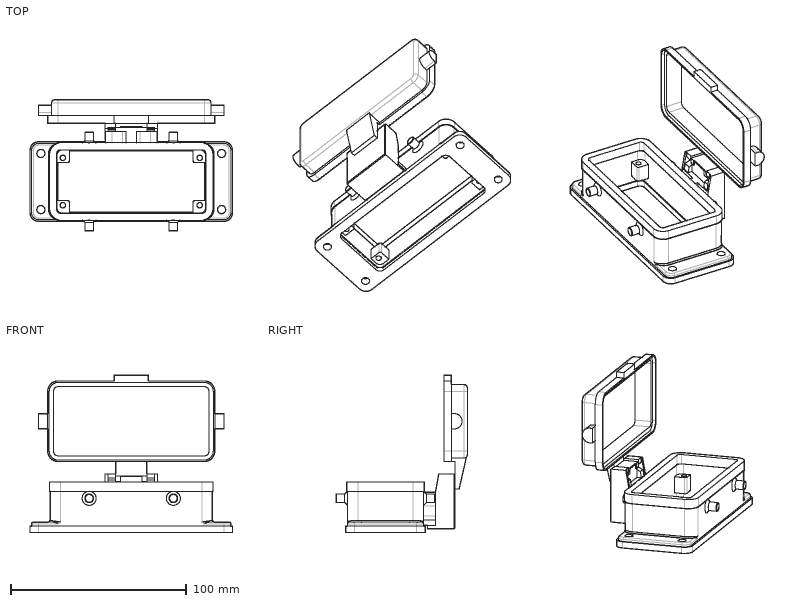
import cadquery as cq

flange_length = 115.5
flange_width = 45.5
flange_height = 3.7
flange_radius = 5.0
pad_inset = 0.9
pad_top = 5.9
pad_edge_radius = 1.0
mount_hole_diameter = 4.5
mount_hole_x = 51.5
mount_hole_y = 16.0

body_length = 92.6
body_width = 43.5
body_radius = 6.0
foot_spread = 0.9
foot_rise = 0.9
foot_chamfer = 0.7
rim_overhang = 0.4
rim_bottom = 23.4
body_top = 28.9
cavity_length = 85.0
cavity_width = 36.2
cavity_radius = 2.0
lower_cavity_radius = 3.0
lower_cavity_step = 0.15
floor_lip = 0.7

boss_size = 7.3
boss_radius = 1.0
boss_bottom = 8.0
boss_top = 17.5
boss_hole_diameter = 3.0
boss_hole_x = 39.0
boss_hole_y = 13.5

pin_diameter = 5.0
pin_collar_diameter = 8.0
pin_collar_length = 1.5
pin_reach = 28.25
pin_x = 24.0
pin_z = 19.5
pin_edge_chamfer = 0.3

housing_width = 30.0
housing_back = 39.55
housing_front = 28.4
housing_top_front = 30.3
housing_bottom = 2.1
housing_top = 33.5
housing_edge_chamfer = 0.5
ledge_front = 23.8
ledge_top = 4.1
cheek_thickness = 1.7
recess_floor = 23.0
recess_back = 31.5
saddle_front = 30.8
saddle_top = 32.3
saddle_skin = 0.3
tab_height = 3.0
tab_width = 2.9
cell_inset = 0.5
spring_pocket_back = 36.5
spring_pocket_top = 31.0
spring_ramp_top = 30.0
spring_ramp_bottom = 26.0

bracket_top = 23.0
bracket_side_inset = 0.2
bracket_top_width = 5.9
bracket_flank_x = 4.9
bracket_flank_z = 15.2
bracket_arc_x = 10.9
bracket_arc_z = 9.5
bracket_shoulder_z = 7.1

cover_length = 95.3
cover_height = 46.1
cover_top = 86.5
cover_radius = 6.0
cover_front = 33.2
cover_rim_back = 37.6
cover_back = 46.75
shell_inset = 2.1
shell_edge_radius = 2.0
seal_inset = 0.9
seal_depth = 1.9
pocket_inset = 3.35
pocket_floor_thickness = 2.0
pocket_radius = 2.5
cover_tab_width = 19.4
cover_tab_top = 89.75
lug_span = 105.8
lug_width = 8.7
lug_reach = 43.6

arm_width = 17.8
arm_tip_back = 42.0
arm_tip_z = 24.7
arm_root_back = 46.3
arm_root_z = 43.5

cover_mid_z = cover_top - cover_height / 2
cover_bottom = cover_top - cover_height


def four_corners(x, y):
    """The four points (+-x, +-y)."""
    return [(sx * x, sy * y) for sx in (-1, 1) for sy in (-1, 1)]


def upright_block(length, width, radius, bottom, top):
    """Block centred on Z with rounded vertical corners."""
    block = cq.Workplane("XY").workplane(offset=bottom).rect(length, width).extrude(top - bottom)
    return block.edges("|Z").fillet(radius)


def box(x_range, y_range, z_range):
    """Box between two limits along each axis."""
    (x0, x1), (y0, y1), (z0, z1) = x_range, y_range, z_range
    return cq.Workplane("XY").box(x1 - x0, y1 - y0, z1 - z0, centered=False).translate((x0, y0, z0))


def cover_block(inset, radius, front, back):
    """Rounded slab following the cover outline, moved inwards by inset."""
    length = cover_length - 2 * inset
    height = cover_height - 2 * inset
    slab = cq.Workplane("XZ").rect(length, height).extrude(front - back).edges("|Y").fillet(radius)
    return slab.translate((0, front, cover_mid_z))


def make_base():
    """Flange, end pads and body with its overhanging rim."""
    flange = upright_block(flange_length, flange_width, flange_radius, 0, flange_height)
    pad = upright_block(
        flange_length - 2 * pad_inset,
        body_width,
        flange_radius - pad_inset,
        flange_height,
        pad_top,
    )
    pad = pad.faces(">Z").edges().fillet(pad_edge_radius)
    body = upright_block(body_length, body_width, body_radius, 0, rim_bottom)
    rim = upright_block(
        body_length + 2 * rim_overhang,
        body_width + 2 * rim_overhang,
        body_radius + rim_overhang,
        rim_bottom,
        body_top,
    )
    foot = upright_block(
        body_length + 2 * foot_spread,
        body_width,
        body_radius,
        flange_height,
        pad_top + foot_rise,
    )
    foot = foot.faces(">Z").edges("|Y").chamfer(foot_chamfer)
    return flange.union(pad).union(body).union(foot).union(rim)


def cut_base(base):
    """Stepped through cavity with a small lip at the flange, plus the mounting holes."""
    upper_cavity = upright_block(cavity_length, cavity_width, cavity_radius, rim_bottom, body_top)
    lower_cavity = upright_block(
        cavity_length - 2 * lower_cavity_step,
        cavity_width - 2 * lower_cavity_step,
        lower_cavity_radius,
        flange_height,
        rim_bottom,
    )
    opening = upright_block(
        cavity_length - 2 * floor_lip,
        cavity_width - 2 * floor_lip,
        lower_cavity_radius,
        0,
        flange_height,
    )
    holes = (
        cq.Workplane("XY")
        .pushPoints(four_corners(mount_hole_x, mount_hole_y))
        .circle(mount_hole_diameter / 2)
        .extrude(body_top)
    )
    return base.cut(upper_cavity).cut(lower_cavity).cut(opening).cut(holes)


def make_bosses():
    """Four drilled blocks in the cavity corners."""
    wall_overlap = (body_length - cavity_length) / 4
    reach = boss_size + wall_overlap
    centre_x = cavity_length / 2 - boss_size + reach / 2
    centre_y = cavity_width / 2 - boss_size + reach / 2
    blocks = (
        cq.Workplane("XY")
        .workplane(offset=boss_bottom)
        .pushPoints(four_corners(centre_x, centre_y))
        .rect(reach, reach)
        .extrude(boss_top - boss_bottom)
        .edges("|Z")
        .fillet(boss_radius)
    )
    holes = (
        cq.Workplane("XY")
        .pushPoints(four_corners(boss_hole_x, boss_hole_y))
        .circle(boss_hole_diameter / 2)
        .extrude(body_top)
    )
    return blocks.cut(holes)


def make_pin(x, side):
    """Locking pin with a conical collar; side is -1 for -Y and +1 for +Y."""
    wall = body_width / 2
    inner = (cavity_width / 2 + wall) / 2
    collar_end = wall + pin_collar_length
    pin = (
        cq.Workplane("XY")
        .moveTo(0, inner)
        .lineTo(pin_collar_diameter / 2, inner)
        .lineTo(pin_collar_diameter / 2, wall)
        .lineTo(pin_diameter / 2, collar_end)
        .lineTo(pin_diameter / 2, pin_reach - pin_edge_chamfer)
        .lineTo(pin_diameter / 2 - pin_edge_chamfer, pin_reach)
        .lineTo(0, pin_reach)
        .close()
        .revolve(360, (0, 0, 0), (0, 1, 0))
    )
    if side < 0:
        pin = pin.mirror("XZ")
    return pin.translate((x, 0, pin_z))


def make_housing():
    """Hinge housing with a lowered saddle and a recess open to the front."""
    half = housing_width / 2
    arm_half = arm_width / 2
    profile = [
        (housing_back, housing_bottom),
        (ledge_front, housing_bottom),
        (ledge_front, ledge_top),
        (housing_front, ledge_top),
        (housing_front, recess_floor),
        (housing_top_front, housing_top),
        (housing_back, housing_top),
    ]
    housing = cq.Workplane("YZ").polyline(profile).close().extrude(half, both=True)
    housing = housing.faces(">Y").edges().chamfer(housing_edge_chamfer)

    saddle = box((-arm_half, arm_half), (ledge_front, housing_back), (saddle_top, housing_top))
    saddle_face = box((-arm_half, arm_half), (ledge_front, saddle_front), (recess_floor, housing_top))
    tab_x = arm_half - tab_width
    recess_y = (ledge_front, recess_back)
    recess_top = saddle_top - saddle_skin
    recess = box((-arm_half, arm_half), recess_y, (recess_floor, recess_top - tab_height))
    recess_middle = box((-tab_x, tab_x), recess_y, (recess_floor, recess_top))
    cell = make_spring_cell(arm_half, half - cheek_thickness)
    for cutter in (saddle, saddle_face, recess, recess_middle, cell, cell.mirror("YZ")):
        housing = housing.cut(cutter)
    return housing


def make_spring_cell(inner_x, outer_x):
    """Cutter for one side cell: front face set behind the cheek, and a pocket with a ramped floor."""
    face_outline = [
        (ledge_front, recess_floor),
        (housing_front + cell_inset, recess_floor),
        (housing_top_front + cell_inset, housing_top),
        (ledge_front, housing_top),
    ]
    pocket_outline = [
        (housing_front, spring_ramp_bottom),
        (spring_pocket_back, spring_ramp_top),
        (spring_pocket_back, spring_pocket_top),
        (housing_front, spring_pocket_top),
    ]
    depth = outer_x - inner_x
    plane = cq.Workplane("YZ").workplane(offset=inner_x)
    face = plane.polyline(face_outline).close().extrude(depth)
    return face.union(plane.polyline(pocket_outline).close().extrude(depth))


def make_bracket():
    """Flared bracket between the body wall and the housing."""
    half = housing_width / 2 - bracket_side_inset
    top_half = bracket_top_width / 2
    flank = (bracket_flank_x - top_half, bracket_flank_z - bracket_top)
    half_bracket = (
        cq.Workplane("XZ")
        .moveTo(0, ledge_top)
        .lineTo(0, bracket_top)
        .lineTo(top_half, bracket_top)
        .line(*flank)
        .tangentArcPoint((bracket_arc_x, bracket_arc_z), relative=False)
        .lineTo(half, bracket_shoulder_z)
        .lineTo(half, ledge_top)
        .close()
        .extrude(body_width / 2 - housing_front)
        .translate((0, body_width / 2, 0))
    )
    return half_bracket.union(half_bracket.mirror("YZ"))


def make_cover_pocket():
    """Cutter for the hollow inside of the cover."""
    return cover_block(pocket_inset, pocket_radius, cover_front, cover_back - pocket_floor_thickness)


def make_cover():
    """Tray-shaped cover with a stepped rim, a top tab and two side lugs."""
    shell = cover_block(shell_inset, cover_radius - shell_inset, cover_rim_back, cover_back)
    shell = shell.faces(">Y").edges().fillet(shell_edge_radius)
    rim = cover_block(0, cover_radius, cover_front, cover_rim_back)
    tab_half = cover_tab_width / 2
    tab = box((-tab_half, tab_half), (cover_front, cover_rim_back), (cover_mid_z, cover_tab_top))

    lug_radius = lug_width / 2
    lug_centre = lug_reach - lug_radius
    lugs = (
        cq.Workplane("YZ")
        .moveTo(cover_rim_back, cover_mid_z - lug_radius)
        .lineTo(lug_centre, cover_mid_z - lug_radius)
        .threePointArc((lug_reach, cover_mid_z), (lug_centre, cover_mid_z + lug_radius))
        .lineTo(cover_rim_back, cover_mid_z + lug_radius)
        .close()
        .extrude(lug_span / 2, both=True)
    )
    seal_step = cover_block(seal_inset, cover_radius - seal_inset, cover_front, cover_front + seal_depth)
    return shell.union(rim).union(tab).union(lugs).cut(seal_step).cut(make_cover_pocket())


def make_arm():
    """Tapered arm from the lower cover edge down to the back of the housing."""
    root_z = cover_bottom + shell_inset
    profile = [
        (housing_back, arm_tip_z),
        (arm_tip_back, arm_tip_z),
        (arm_root_back, arm_root_z),
        (arm_root_back, root_z + shell_edge_radius),
        (cover_rim_back, root_z + shell_edge_radius),
        (cover_rim_back, cover_bottom),
        (housing_back, cover_bottom),
    ]
    arm = cq.Workplane("YZ").polyline(profile).close().extrude(arm_width / 2, both=True)
    return arm.cut(make_cover_pocket())


result = cut_base(make_base()).union(make_bosses())
for x_position in (-pin_x, pin_x):
    for y_side in (-1, 1):
        result = result.union(make_pin(x_position, y_side))
for piece in (make_bracket(), make_housing(), make_arm(), make_cover()):
    result = result.union(piece)